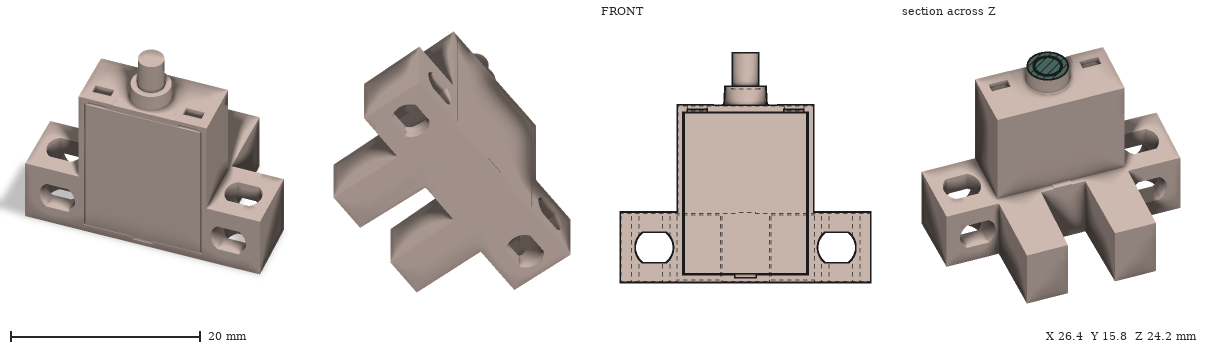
import cadquery as cq
import math


width = 26.4
depth = 15.8
height = 24.24

main_draft = math.tan(math.radians(1.0))
side_draft = math.tan(math.radians(0.5))

flange_depth = 7.35
flange_height = 7.45
arm_half_width = 7.25
slot_tip_half_width = 2.65
slot_floor = 7.25

tower_half_width = 7.2
tower_depth = 6.63
tower_height = 18.75

pad_width = 2.03
pad_height = 7.42

hole_diameter = 4.0
hole_flats = 3.2
upright_hole_x = 10.0
upright_hole_y = 3.56
cross_hole_x = 9.6
cross_hole_z = 3.7

pocket_half_width = 6.6
pocket_bottom = 0.85
pocket_top = 17.95
groove_side_gap = 0.15
groove_end_gap = 0.08
groove_depth = 0.26
panel_half_width = pocket_half_width - groove_side_gap
panel_bottom = pocket_bottom + groove_end_gap
panel_top = pocket_top - groove_end_gap

latch_x = 5.1
latch_width = 2.1
latch_rise = 0.32
latch_depth = 0.45
bottom_latch_width = 2.22
bottom_latch_drop = 0.35
bottom_latch_depth = 0.4

window_front = 1.25
window_back = 2.32
window_floor = 17.9
window_taper = 5.0
shelf_edge = 1.65
shelf_rise = 0.08
ramp_width = 1.53
ramp_rise = 0.2

cable_y = 2.6
cable_radius = 1.4
clearance_radius = 1.5
clearance_depth = 0.26
collar_top = 20.7
collar_top_radius = 2.16
collar_base_radius = 2.27
flare_size = 0.18
seat_half_width = 3.4
seat_height = tower_height - cable_y * main_draft


def block(x_min, x_max, y_min, y_max, z_min, z_max):
    """Box given by its limits along each axis."""
    box = cq.Workplane("XY").box(x_max - x_min, y_max - y_min, z_max - z_min, centered=False)
    return box.translate((x_min, y_min, z_min))


def side_prism(points, prism_width, x_centre=0.0):
    """Outline of (Y, Z) points extruded along X, centred on x_centre."""
    prism = cq.Workplane("YZ").polyline(points).close().extrude(prism_width / 2, both=True)
    return prism.translate((x_centre, 0, 0))


def make_base():
    """Flange with two fork arms, drafted above, below and at its ends."""
    flange_back_half = width / 2 - flange_depth * side_draft
    slot_floor_half = slot_tip_half_width - (depth - slot_floor) * main_draft
    right_half = [
        (width / 2, 0),
        (flange_back_half, flange_depth),
        (arm_half_width, flange_depth),
        (arm_half_width, depth),
        (slot_tip_half_width, depth),
        (slot_floor_half, slot_floor),
    ]
    left_half = [(-x, y) for x, y in reversed(right_half)]
    plan = cq.Workplane("XY").polyline(right_half + left_half).close().extrude(flange_height)
    drop = depth * main_draft
    profile = [(0, 0), (depth, drop), (depth, flange_height - drop), (0, flange_height)]
    return plan.intersect(side_prism(profile, width))


def make_tower():
    """Upright housing with drafted sides and top."""
    back_half = tower_half_width - tower_depth * side_draft
    plan = [
        (-tower_half_width, 0),
        (tower_half_width, 0),
        (back_half, tower_depth),
        (-back_half, tower_depth),
    ]
    prism = cq.Workplane("XY").polyline(plan).close().extrude(tower_height)
    profile = [
        (0, 0),
        (tower_depth, tower_depth * main_draft),
        (tower_depth, tower_height - tower_depth * main_draft),
        (0, tower_height),
    ]
    return prism.intersect(side_prism(profile, width))


def make_pad():
    """Flat pad, slightly proud of the drafted flange top."""
    return block(-pad_width / 2, pad_width / 2, 0, slot_floor, flange_height / 2, pad_height)


def make_mounting_holes():
    """Upright and front-to-back mounting holes at both ends of the flange."""
    def cutter(length):
        flats = cq.Workplane("XY").box(hole_diameter, hole_flats, length)
        return cq.Workplane("XY").circle(hole_diameter / 2).extrude(length / 2, both=True).intersect(flats)

    upright = cutter(2 * height)
    cross = cutter(2 * depth).rotate((0, 0, 0), (1, 0, 0), 90)
    cutters = cq.Workplane("XY")
    for side in (-1, 1):
        cutters = cutters.add(upright.translate((side * upright_hole_x, upright_hole_y, 0)))
        cutters = cutters.add(cross.translate((side * cross_hole_x, 0, cross_hole_z)))
    return cutters.combine()


def make_cover_groove():
    """Narrow groove around the cover panel."""
    outer = block(-pocket_half_width, pocket_half_width, 0, groove_depth, pocket_bottom, pocket_top)
    panel = block(-panel_half_width, panel_half_width, 0, groove_depth, panel_bottom, panel_top)
    return outer.cut(panel)


def make_latch_notch(x_centre):
    """Wedge-shaped notch above the cover panel, closing inwards."""
    points = [(0, panel_top), (latch_depth, panel_top), (0, pocket_top + latch_rise)]
    return side_prism(points, latch_width, x_centre)


def make_bottom_latch_notch():
    """Wedge-shaped notch below the cover panel, closing inwards."""
    points = [
        (0, panel_bottom),
        (bottom_latch_depth, panel_bottom),
        (0, pocket_bottom - bottom_latch_drop),
    ]
    return side_prism(points, bottom_latch_width)


def make_latch_window(x_centre):
    """Tapered window in the tower top, less the shelf and ramp along its front wall."""
    window = (
        cq.Workplane("XY", origin=(x_centre, (window_front + window_back) / 2, tower_height))
        .rect(latch_width, window_back - window_front)
        .extrude(window_floor - tower_height, taper=window_taper)
    )
    shelf_top = window_floor + shelf_rise
    half = latch_width / 2
    shelf = block(x_centre - half, x_centre + half, window_front, shelf_edge, window_floor, shelf_top)
    ramp = [
        (window_front, shelf_top),
        (shelf_edge, shelf_top),
        (window_front, shelf_top + ramp_rise),
    ]
    return window.cut(shelf).cut(side_prism(ramp, ramp_width, x_centre))


def make_seat_cut():
    """Clears the tower top down to the flat seat, which widens towards the front."""
    back_half = seat_half_width - cable_y * main_draft
    outline = [
        (-seat_half_width, 0),
        (seat_half_width, 0),
        (back_half, cable_y),
        (-back_half, cable_y),
    ]
    seat_plane = cq.Workplane("XY", origin=(0, 0, seat_height))
    return seat_plane.polyline(outline).close().extrude(height - seat_height)


def make_cable():
    """Cable in a clearance ring, and its tapered collar, flared where it meets the seat."""
    flare_top = seat_height + flare_size
    foot_height = tower_height - tower_depth * main_draft
    flare_radius = collar_base_radius + flare_size
    flare_middle = flare_size * (1 - math.sqrt(0.5))
    profile = (
        cq.Workplane("XZ")
        .moveTo(0, foot_height)
        .lineTo(flare_radius, foot_height)
        .lineTo(flare_radius, seat_height)
        .threePointArc(
            (collar_base_radius + flare_middle, seat_height + flare_middle),
            (collar_base_radius, flare_top),
        )
        .lineTo(collar_top_radius, collar_top)
        .lineTo(clearance_radius, collar_top)
        .lineTo(clearance_radius, collar_top - clearance_depth)
        .lineTo(cable_radius, collar_top - clearance_depth)
        .lineTo(cable_radius, height)
        .lineTo(0, height)
        .close()
    )
    return profile.revolve(360, (0, 0, 0), (0, 1, 0)).translate((0, cable_y, 0))


result = make_base().union(make_tower()).union(make_pad())
result = result.cut(make_seat_cut())
result = result.cut(make_cover_groove()).cut(make_bottom_latch_notch())
for latch_side in (-1, 1):
    result = result.cut(make_latch_notch(latch_side * latch_x))
    result = result.cut(make_latch_window(latch_side * latch_x))
result = result.cut(make_mounting_holes())
result = result.union(make_cable())